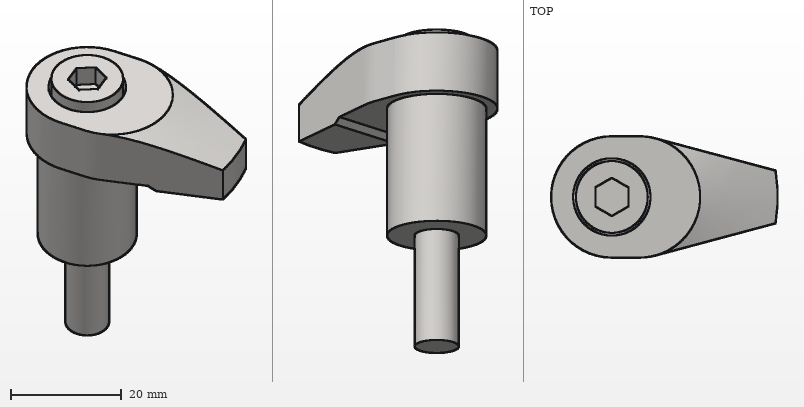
import cadquery as cq
import math


total_height = 58.0
stud_diameter = 8.0
head_diameter = 13.0
head_height = 8.0
hex_across_flats = 6.0
hex_depth = 4.0

lever_width = 22.0
lever_thickness = 11.0
head_projection = 2.0
nose_offset = 5.0
arm_taper = 15.0
tip_radius = 30.0
tip_drop = 5.0
lip_depth = 1.0
lip_ramp_start = 16.25
lip_ramp_end = 17.75

collar_diameter = 18.0
collar_length = 24.0
counterbore_diameter = 14.0

lever_radius = lever_width / 2
lever_top = total_height - head_projection
hub_bottom = lever_top - lever_thickness
lip_bottom = hub_bottom - lip_depth
head_seat = total_height - head_height
collar_bottom = hub_bottom - collar_length
taper = math.radians(arm_taper)


def cylinder(diameter, bottom, top):
    return cq.Workplane("XY").workplane(offset=bottom).circle(diameter / 2).extrude(top - bottom)


def lever_plan():
    """Round hub, straight sides, nose arcs and tapered flanks ending in the tip arc."""
    def nose_point(angle):
        return nose_offset + lever_radius * math.sin(angle), lever_radius * math.cos(angle)

    tangent_x, tangent_y = nose_point(taper)
    middle_x, middle_y = nose_point(taper / 2)
    nose_distance = lever_radius + nose_offset * math.sin(taper)
    corner_angle = math.pi / 2 - taper - math.acos(nose_distance / tip_radius)
    corner_x = tip_radius * math.cos(corner_angle)
    corner_y = tip_radius * math.sin(corner_angle)

    return (
        cq.Workplane("XY").workplane(offset=lip_bottom)
        .moveTo(0, lever_radius)
        .threePointArc((-lever_radius, 0), (0, -lever_radius))
        .lineTo(nose_offset, -lever_radius)
        .threePointArc((middle_x, -middle_y), (tangent_x, -tangent_y))
        .lineTo(corner_x, -corner_y)
        .threePointArc((tip_radius, 0), (corner_x, corner_y))
        .lineTo(tangent_x, tangent_y)
        .threePointArc((middle_x, middle_y), (nose_offset, lever_radius))
        .close()
    )


def underside_relief():
    """Material below the hub, up to the ramp that leads to the lip."""
    return (
        cq.Workplane("XZ")
        .moveTo(-lever_width, hub_bottom)
        .lineTo(lip_ramp_start, hub_bottom)
        .lineTo(lip_ramp_end, lip_bottom)
        .lineTo(-lever_width, lip_bottom)
        .close()
        .extrude(lever_width, both=True)
    )


def conical_relief():
    """Half ring above the arm whose lower face is a cone about the nose axis."""
    slope = tip_drop / (tip_radius - nose_offset - lever_radius)
    outer_radius = tip_radius
    outer_drop = slope * (outer_radius - lever_radius)
    return (
        cq.Workplane("YZ", origin=(nose_offset, 0, 0))
        .moveTo(-lever_radius, lever_top)
        .lineTo(-outer_radius, lever_top)
        .lineTo(-outer_radius, lever_top - outer_drop)
        .close()
        .revolve(180, (0, 0), (0, 1))
    )


def make_lever():
    body = lever_plan().extrude(lever_top - lip_bottom)
    body = body.cut(underside_relief())
    body = body.cut(conical_relief())
    body = body.union(cylinder(collar_diameter, collar_bottom, hub_bottom))
    body = body.cut(cylinder(counterbore_diameter, head_seat, lever_top))
    return body.cut(cylinder(stud_diameter, collar_bottom, head_seat))


def make_screw():
    stud = cylinder(stud_diameter, 0, head_seat)
    head = cylinder(head_diameter, head_seat, total_height)
    hex_corner_diameter = hex_across_flats / math.cos(math.pi / 6)
    socket = (
        cq.Workplane("XY").workplane(offset=total_height - hex_depth)
        .transformed(rotate=(0, 0, 30))
        .polygon(6, hex_corner_diameter)
        .extrude(hex_depth)
    )
    return stud.union(head).cut(socket)


lever = make_lever()
screw = make_screw()
result = cq.Compound.makeCompound([lever.val(), screw.val()])